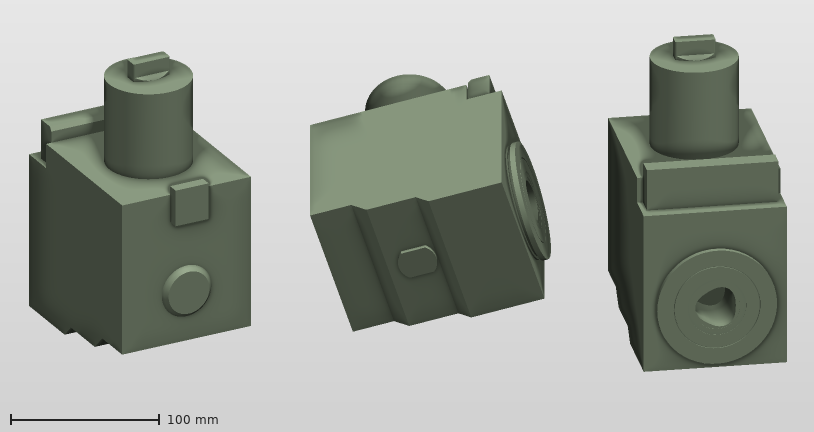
import cadquery as cq
import math


width = 98.0
length = 135.0
top_z = 130.8
ledge_z = 112.8
ledge_length = 24.8
first_ramp_start = 51.5
first_ramp_end = 60.7
middle_z = 9.1
second_ramp_start = 95.2
raised_z = 19.9
second_ramp_end = second_ramp_start + raised_z - middle_z

bar_start = 10.0
bar_width = 90.0
bar_top = 142.0
bar_bevel_x = 2.0
bar_bevel_z = 3.0

stop_thickness = 8.0
stop_width = 25.0
stop_bottom = 110.7
stop_top = 137.2

overall_top = 207.0
shaft_x = 80.0
shaft_diameter = 60.0
shaft_top = 194.0
tang_thickness = 10.0
tang_width = 27.7
tang_corner = 1.2
ramp_half_thickness = 8.5
ramp_height = 3.0
ramp_end_y = 12.8

socket_z = 46.2
collar_diameter = 79.5
collar_thickness = 1.0
neck_diameter = 75.0
flange_back = 3.3
flange_diameter = 82.0
flange_face = 7.0
groove_diameter = 59.5
groove_width = 0.6
groove_depth = 1.0
seat_diameters = (40.0, 31.7)
seat_step = 0.2
socket_radius = 13.9
socket_lobe = 1.0
socket_depth = 37.3
socket_taper = 0.6

plug_z = 56.7
plug_base_radius = 18.8
plug_face_radius = 15.5
plug_height = 3.5

foot_x = 74.3
foot_diameter = 26.5
foot_across_flats = 20.3
foot_height = 3.0


def block(x_start, x_end, y_width, z_start, z_end):
    """Box centred on the symmetry plane."""
    return cq.Workplane("XY").box(
        x_end - x_start, y_width, z_end - z_start, centered=(False, True, False)
    ).translate((x_start, 0, z_start))


def x_disc(diameter, x_start, x_end, z_center):
    """Cylinder along X."""
    plane = cq.Workplane("YZ", origin=(x_start, 0, z_center))
    return plane.circle(diameter / 2).extrude(x_end - x_start)


def make_housing():
    outline = [
        (0, 0),
        (first_ramp_start, 0),
        (first_ramp_end, middle_z),
        (second_ramp_start, middle_z),
        (second_ramp_end, raised_z),
        (length, raised_z),
        (length, top_z),
        (ledge_length, top_z),
        (ledge_length, ledge_z),
        (0, ledge_z),
    ]
    return cq.Workplane("XZ").polyline(outline).close().extrude(width / 2, both=True)


def make_bar():
    outline = [
        (bar_start, ledge_z),
        (ledge_length, ledge_z),
        (ledge_length, bar_top - bar_bevel_z),
        (ledge_length - bar_bevel_x, bar_top),
        (bar_start, bar_top),
    ]
    return cq.Workplane("XZ").polyline(outline).close().extrude(bar_width / 2, both=True)


def make_shaft():
    plane = cq.Workplane("XY", origin=(shaft_x, 0, top_z))
    return plane.circle(shaft_diameter / 2).extrude(shaft_top - top_z)


def make_tang():
    half = tang_thickness / 2
    tang = block(shaft_x - half, shaft_x + half, tang_width, shaft_top, overall_top)
    tang = tang.edges("|Z").fillet(tang_corner)

    lens = (
        cq.Workplane("XY", origin=(shaft_x, 0, shaft_top))
        .moveTo(half, -ramp_end_y)
        .threePointArc((ramp_half_thickness, 0), (half, ramp_end_y))
        .lineTo(-half, ramp_end_y)
        .threePointArc((-ramp_half_thickness, 0), (-half, -ramp_end_y))
        .close()
        .extrude(ramp_height)
    )
    wedge = (
        cq.Workplane("XZ", origin=(shaft_x, 0, shaft_top))
        .polyline([
            (-ramp_half_thickness, 0),
            (ramp_half_thickness, 0),
            (half, ramp_height),
            (-half, ramp_height),
        ])
        .close()
        .extrude(tang_width / 2, both=True)
    )
    return tang.union(lens.intersect(wedge))


def make_flange():
    collar = x_disc(collar_diameter, -collar_thickness, 0, socket_z)
    neck = x_disc(neck_diameter, -flange_back, -collar_thickness, socket_z)
    flange = x_disc(flange_diameter, -flange_face, -flange_back, socket_z)
    groove_end = groove_depth - flange_face
    groove = x_disc(groove_diameter, -flange_face, groove_end, socket_z).cut(
        x_disc(groove_diameter - 2 * groove_width, -flange_face, groove_end, socket_z)
    )
    flange = flange.cut(groove)

    for step, diameter in enumerate(seat_diameters, start=1):
        seat_floor = step * seat_step - flange_face
        flange = flange.cut(x_disc(diameter, -flange_face, seat_floor, socket_z))
    return collar.union(neck).union(flange)


def make_socket():
    """Tapered three-lobed cavity with one lobe pointing to +Y."""
    def lobed_curve(mean_radius):
        def point(t):
            angle = 2 * math.pi * t
            radius = mean_radius + socket_lobe * math.cos(3 * angle)
            return radius * math.cos(angle), radius * math.sin(angle)
        return point

    mouth = cq.Workplane("YZ", origin=(-flange_face, 0, socket_z))
    mouth = mouth.parametricCurve(lobed_curve(socket_radius), N=60)
    bottom = mouth.workplane(offset=socket_depth)
    bottom = bottom.parametricCurve(lobed_curve(socket_radius - socket_taper), N=60)
    return bottom.loft(combine=True)


def make_plug():
    base = cq.Workplane("YZ", origin=(length, 0, plug_z)).circle(plug_base_radius)
    return base.workplane(offset=plug_height).circle(plug_face_radius).loft()


def make_foot():
    foot_bottom = middle_z - foot_height
    foot = cq.Workplane("XY", origin=(foot_x, 0, foot_bottom))
    foot = foot.circle(foot_diameter / 2).extrude(foot_height)
    radius = foot_diameter / 2
    flats = block(foot_x - radius, foot_x + radius, foot_across_flats, foot_bottom, middle_z)
    return foot.intersect(flats)


stop = block(length, length + stop_thickness, stop_width, stop_bottom, stop_top)

result = make_housing()
for feature in (make_bar(), stop, make_shaft(), make_tang(), make_flange(), make_plug(), make_foot()):
    result = result.union(feature)
result = result.cut(make_socket())